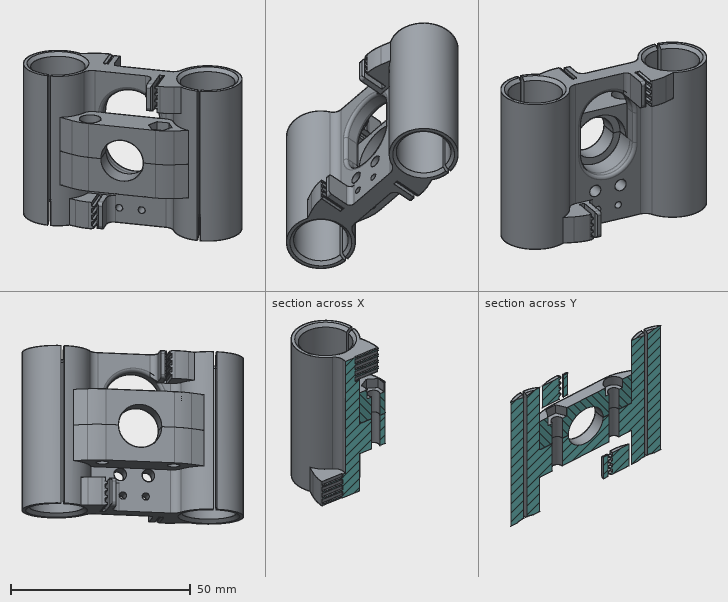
import cadquery as cq
import math

height = 45.0
overall_length = 62.45
tube_outer_radius = 9.6
tube_bore_radius = 7.6
tube_mouth_chamfer = 1.0
tube_slit_width = 0.95
tube_x = overall_length / 2 - tube_outer_radius
web_half_thickness = 2.5
web_tube_fillet = 3.0
half_height = height / 2

clamp_front = 11.5
clamp_half_height = 10.2
clamp_tip_x = 18.5
clamp_bore_diameter = 12.25
clamp_neck_length = 5.6
screw_x = 10.1
screw_y = -8.05
screw_diameter = 3.5
screw_head_diameter = 6.0
screw_head_depth = 3.0
nut_across_flats = 5.8
nut_depth = 3.0

opening_diameter = 16.5
opening_top_center_z = 9.25
opening_edge_fillet = 1.0
large_hole_diameter = 3.5
large_hole_x = 4.0
large_hole_z = -12.05
small_hole_diameter = 2.0
small_hole_x = 3.25
small_hole_z = -18.05

clip_height = 8.0
finger_inner_x = 6.4
finger_outer_x = 8.0
finger_tip_chamfer = 0.5
finger_tip_fillet = 1.0
slot_outer_x = 9.4
tooth_pitch = 2.0
tooth_count = 4
tooth_height = 0.7
tooth_base = 0.95
tooth_tip = 0.3
first_tooth_offset = 1.5
front_clip_depth = 9.0
front_clip_tip_x = 16.1
front_clip_slot_floor = 1.0
front_clip_fillet = 2.0
back_clip_depth = 10.5
back_clip_tip_x = 17.4
back_clip_slot_floor = 3.5
back_clip_fillet = 1.5

shoulder_x = 12.3
shoulder_radius = 14.0


def prism(outline, bottom, top):
    """Extrude a closed XY outline from Z = bottom to Z = top."""
    return outline.extrude(top - bottom).translate((0, 0, bottom))


def tube_front_y(x):
    """Y of the front of the right tube's outer surface at the given X."""
    return -math.sqrt(tube_outer_radius**2 - (x - tube_x) ** 2)


def turn_over(body):
    """Half a turn about Y: right-hand top becomes left-hand bottom."""
    return body.rotate((0, 0, 0), (0, 1, 0), 180)


def turn_to_back(body):
    """Half a turn about Z: front right becomes back left."""
    return body.rotate((0, 0, 0), (0, 0, 1), 180)


def corner_fillet(bottom, top):
    """Concave fillet between the front of the web and the right tube."""
    center_y = -web_half_thickness - web_tube_fillet
    center_distance = tube_outer_radius + web_tube_fillet
    center_x = tube_x - math.sqrt(center_distance**2 - center_y**2)
    share = tube_outer_radius / center_distance
    tube_point = (tube_x + share * (center_x - tube_x), share * center_y)
    outline = (
        cq.Workplane("XY")
        .moveTo(center_x, 0)
        .lineTo(center_x, -web_half_thickness)
        .radiusArc(tube_point, web_tube_fillet)
        .lineTo(tube_x, 0)
        .close()
    )
    return prism(outline, bottom, top)


def solid_frame():
    """Web and tubes before any hole is cut."""
    frame = cq.Workplane("XY").box(2 * tube_x, 2 * web_half_thickness, height)
    tubes = (
        cq.Workplane("XY")
        .pushPoints([(-tube_x, 0), (tube_x, 0)])
        .circle(tube_outer_radius)
        .extrude(half_height, both=True)
    )
    full_fillet = corner_fillet(-half_height, half_height)
    short_fillet = corner_fillet(-half_height, clamp_half_height)
    return (
        frame.union(tubes)
        .union(full_fillet)
        .union(turn_to_back(full_fillet))
        .union(turn_over(turn_to_back(full_fillet)))
        .union(turn_over(short_fillet))
    )


def clip_block(depth, tip_x):
    """Front right top block between the belt slot and the tube."""
    outline = (
        cq.Workplane("XY")
        .moveTo(finger_outer_x, 0)
        .lineTo(finger_outer_x, -depth)
        .lineTo(shoulder_x, -depth)
        .lineTo(tip_x, tube_front_y(tip_x))
        .lineTo(tube_x, 0)
        .close()
    )
    block = prism(outline, half_height - clip_height, half_height)
    shoulder = (shoulder_x, -depth, half_height - clip_height / 2)
    return block.edges(cq.NearestToPointSelector(shoulder)).fillet(shoulder_radius)


def clip_finger(depth, root_fillet):
    """Front right top finger on the inner side of the belt slot."""
    outline = (
        cq.Workplane("XY")
        .moveTo(finger_outer_x, 0)
        .lineTo(finger_outer_x, finger_tip_chamfer - depth)
        .lineTo(finger_outer_x - finger_tip_chamfer, -depth)
        .lineTo(finger_inner_x, -depth)
        .lineTo(finger_inner_x, 0)
        .close()
    )
    finger = prism(outline, half_height - clip_height, half_height)
    finger = finger.faces("<Y").edges("|X").fillet(finger_tip_fillet)
    root_outline = (
        cq.Workplane("XY")
        .moveTo(finger_inner_x, -web_half_thickness)
        .lineTo(finger_inner_x - root_fillet, -web_half_thickness)
        .radiusArc((finger_inner_x, -web_half_thickness - root_fillet), root_fillet)
        .close()
    )
    return finger.union(prism(root_outline, half_height - clip_height, half_height))


def belt_slot(depth, floor):
    """Cutter for the front right top belt slot, notched by the belt teeth."""
    bottom = half_height - clip_height
    width = slot_outer_x - finger_outer_x
    slot = cq.Workplane("XY").box(width, depth - floor, clip_height, centered=False)
    slot = slot.translate((finger_outer_x, -depth, bottom))
    tooth_tip_x = slot_outer_x - tooth_height
    for index in range(tooth_count):
        z = bottom + first_tooth_offset + index * tooth_pitch
        tooth = (
            cq.Workplane("XZ")
            .moveTo(slot_outer_x, z - tooth_base / 2)
            .lineTo(tooth_tip_x, z - tooth_tip / 2)
            .lineTo(tooth_tip_x, z + tooth_tip / 2)
            .lineTo(slot_outer_x, z + tooth_base / 2)
            .close()
            .extrude(depth)
        )
        slot = slot.cut(tooth)
    return slot


def add_belt_clips(body):
    """Two clips on the front and two on the back, on opposite corners."""
    front_clip = clip_block(front_clip_depth, front_clip_tip_x).union(
        clip_finger(front_clip_depth, front_clip_fillet)
    )
    back_clip = turn_to_back(
        clip_block(back_clip_depth, back_clip_tip_x).union(clip_finger(back_clip_depth, back_clip_fillet))
    )
    front_slot = belt_slot(front_clip_depth, front_clip_slot_floor)
    back_slot = turn_to_back(belt_slot(back_clip_depth, back_clip_slot_floor))
    for clip, slot in ((front_clip, front_slot), (back_clip, back_slot)):
        body = body.union(clip).union(turn_over(clip))
        body = body.cut(slot).cut(turn_over(slot))
    return body


def clamp_half(bottom, top):
    """Blank of one clamp half, before its bore and screw holes are cut."""
    tip_y = tube_front_y(clamp_tip_x)
    outline = (
        cq.Workplane("XY")
        .moveTo(-tube_x, 0)
        .lineTo(-clamp_tip_x, tip_y)
        .lineTo(-shoulder_x, -clamp_front)
        .lineTo(shoulder_x, -clamp_front)
        .lineTo(clamp_tip_x, tip_y)
        .lineTo(tube_x, 0)
        .close()
    )
    half = prism(outline, bottom, top)
    for side in (-1, 1):
        shoulder = (side * shoulder_x, -clamp_front, (bottom + top) / 2)
        half = half.edges(cq.NearestToPointSelector(shoulder)).fillet(shoulder_radius)
    return half


def hotend_bore():
    """Cutter along Y: narrow neck in the clamp front, wide recess behind it."""
    neck = cq.Workplane("XZ").circle(clamp_bore_diameter / 2).extrude(clamp_front)
    recess = cq.Workplane("XZ").circle(opening_diameter / 2).extrude(clamp_front - clamp_neck_length)
    return neck.union(recess)


def screw_holes():
    """Cutter for the two clamp screws, through both halves."""
    return (
        cq.Workplane("XY")
        .pushPoints([(-screw_x, screw_y), (screw_x, screw_y)])
        .circle(screw_diameter / 2)
        .extrude(clamp_half_height, both=True)
    )


def web_opening():
    """Cutter for the upright oblong opening, with a rounded rim on both faces of the web."""
    slot_length = opening_top_center_z + opening_diameter
    straight = cq.Workplane("XZ", origin=(0, 0, opening_top_center_z / 2))
    straight = straight.slot2D(slot_length, opening_diameter, 90).extrude(back_clip_depth, both=True)
    solid_plate = cq.Workplane("XY").box(overall_length, 2 * web_half_thickness, height)
    plate = solid_plate.cut(straight)
    plate = plate.faces("<Y or >Y").edges("%CIRCLE").fillet(opening_edge_fillet)
    rim = solid_plate.cut(plate)
    return straight.union(rim)


def web_holes():
    """Cutter for the two pairs of round holes below the clamp."""
    holes = cq.Workplane("XZ", origin=(0, web_half_thickness, 0))
    return (
        holes.pushPoints([(-large_hole_x, large_hole_z), (large_hole_x, large_hole_z)])
        .circle(large_hole_diameter / 2)
        .pushPoints([(-small_hole_x, small_hole_z), (small_hole_x, small_hole_z)])
        .circle(small_hole_diameter / 2)
        .extrude(2 * web_half_thickness)
    )


def tube_bore(x):
    """Cutter for one tube: bore, mouth chamfers and the front slit."""
    mouth_radius = tube_bore_radius + tube_mouth_chamfer
    bore = (
        cq.Workplane("YZ")
        .moveTo(0, -half_height)
        .lineTo(-mouth_radius, -half_height)
        .lineTo(-tube_bore_radius, tube_mouth_chamfer - half_height)
        .lineTo(-tube_bore_radius, half_height - tube_mouth_chamfer)
        .lineTo(-mouth_radius, half_height)
        .lineTo(0, half_height)
        .close()
        .revolve(360, (0, 0, 0), (0, 1, 0))
    )
    slit = cq.Workplane("XY").box(tube_slit_width, tube_outer_radius, height)
    return bore.union(slit.translate((0, -tube_outer_radius / 2, 0))).translate((x, 0, 0))


def make_carriage():
    """Tubes, web, belt clips and the lower clamp half in one piece."""
    carriage = add_belt_clips(solid_frame()).cut(web_opening())
    carriage = carriage.union(clamp_half(-clamp_half_height, 0))
    carriage = carriage.cut(hotend_bore()).cut(screw_holes()).cut(web_holes())
    for x in (-tube_x, tube_x):
        carriage = carriage.cut(tube_bore(x))
    return carriage


def make_clamp_cap():
    """Loose upper clamp half, with a screw head recess and a nut pocket."""
    cap = clamp_half(0, clamp_half_height).cut(solid_frame())
    cap = cap.cut(hotend_bore()).cut(screw_holes())
    head_recess = cq.Workplane("XY").center(-screw_x, screw_y).circle(screw_head_diameter / 2)
    nut_across_corners = nut_across_flats / math.cos(math.pi / 6)
    nut_pocket = cq.Workplane("XY").center(screw_x, screw_y).polygon(6, nut_across_corners)
    cap = cap.cut(prism(head_recess, clamp_half_height - screw_head_depth, clamp_half_height))
    return cap.cut(prism(nut_pocket, clamp_half_height - nut_depth, clamp_half_height))


carriage = make_carriage()
clamp_cap = make_clamp_cap()

result = cq.Compound.makeCompound([carriage.solids().val(), clamp_cap.solids().val()])